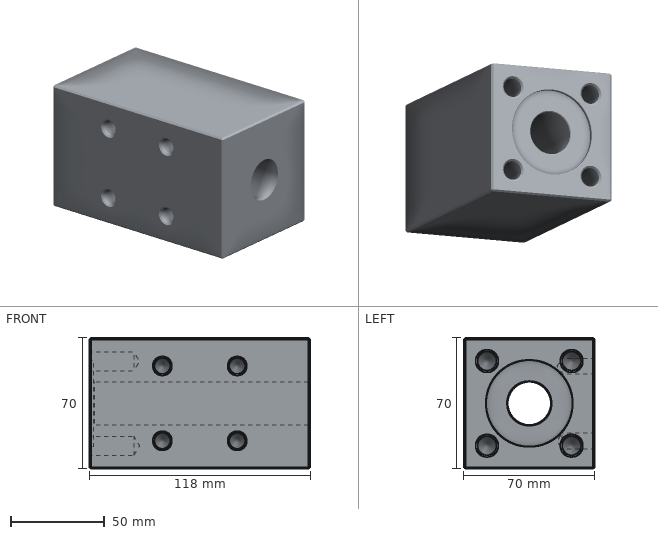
import cadquery as cq
import math

length = 118.0
side = 70.0
edge_chamfer = 1.0

bore_diameter = 23.0
bore_chamfer = 0.5
recess_diameter = 46.1
recess_depth = 2.0
recess_chamfer = 0.2

end_hole_diameter = 10.1
end_hole_mouth = 12.2
end_hole_depth = 23.6
bolt_circle_diameter = 64.0
end_hole_offset = bolt_circle_diameter / 2 / math.sqrt(2)

side_hole_diameter = 8.5
side_hole_mouth = 10.3
side_hole_depth = 17.7
side_hole_pitch = 40.0
side_hole_offset = side_hole_pitch / 2

drill_point_angle = 118.0

into_end = cq.Vector(1, 0, 0)
into_side = cq.Vector(0, 1, 0)


def round_cut(diameter, mouth_chamfer, depth, start, direction):
    """Cylinder with a 45 degree flare at its start."""
    cylinder = cq.Solid.makeCylinder(diameter / 2, depth, start, direction)
    flare = cq.Solid.makeCone(
        diameter / 2 + mouth_chamfer, diameter / 2, mouth_chamfer, start, direction
    )
    return cylinder.fuse(flare)


def drilled_hole(diameter, mouth, depth, start, direction):
    """Blind hole with a chamfered mouth and a conical drill point."""
    shaft = round_cut(diameter, (mouth - diameter) / 2, depth, start, direction)
    point_height = diameter / 2 / math.tan(math.radians(drill_point_angle / 2))
    point = cq.Solid.makeCone(
        diameter / 2, 0, point_height, start + direction * depth, direction
    )
    return shaft.fuse(point)


result = cq.Workplane("XY").box(length, side, side).edges().chamfer(edge_chamfer)

end_center = cq.Vector(-length / 2, 0, 0)
recess_floor = end_center + into_end * recess_depth
result = result.cut(
    round_cut(recess_diameter, recess_chamfer, recess_depth, end_center, into_end)
)
result = result.cut(
    round_cut(bore_diameter, bore_chamfer, length, recess_floor, into_end)
)

for across in (-1, 1):
    for up in (-1, 1):
        end_start = cq.Vector(-length / 2, across * end_hole_offset, up * end_hole_offset)
        result = result.cut(
            drilled_hole(end_hole_diameter, end_hole_mouth, end_hole_depth, end_start, into_end)
        )
        side_start = cq.Vector(across * side_hole_offset, -side / 2, up * side_hole_offset)
        result = result.cut(
            drilled_hole(side_hole_diameter, side_hole_mouth, side_hole_depth, side_start, into_side)
        )